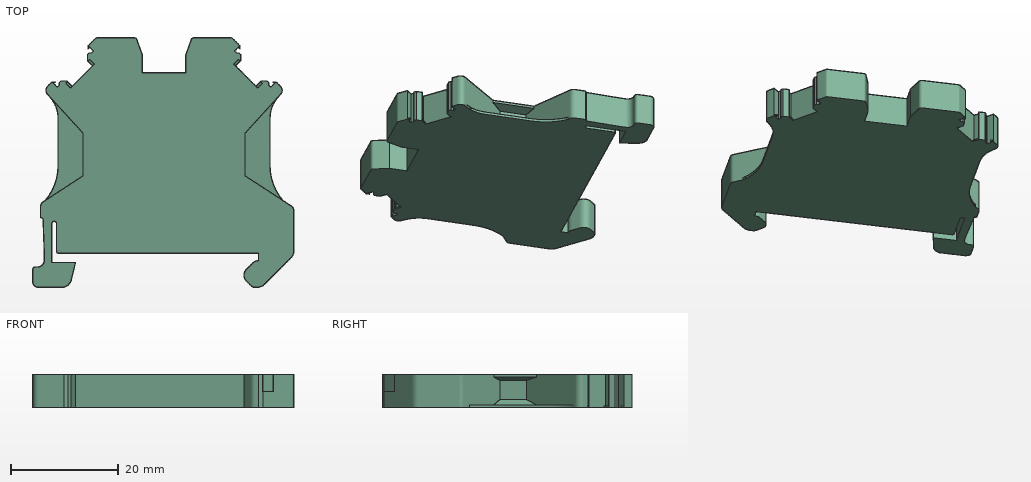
import cadquery as cq
import math


THICKNESS = 6.2
HEIGHT = 46.63
LENGTH = 48.76
LEFT_X = -24.53
RIGHT_X = LEFT_X + LENGTH

NOTCH_HALF_WIDTH = 4.04
NOTCH_FLOOR_Y = 40.08
NOTCH_FLARE_Y = 43.4
TOWER_TOP_INNER_X = 5.2
TOWER_INNER_RADIUS = 0.6
TOWER_OUTER_RADIUS = 0.6

HOLDER_X = 15.24
HOLDER_Y = 39.44
SLOT_HALF_LENGTH = 2.69
LUG_SHOULDER_V = 1.40
LUG_TOP_V = 2.18
GROOVE_FLOOR_V = 1.85
GROOVE_FLOOR_LENGTH = 0.5
GROOVE_HALF_LENGTH = 4.77
LIP_V = 3.25
LIP_SIZE = 0.43
HOLDER_FLOOR_Z = 0.3
LABEL_HALF_LENGTH = 3.155
LABEL_DEPTH = 1.24

RECESS_X = 15.13
RECESS_TOP_Y = 28.8
RECESS_BOTTOM_Y = 20.81
WING_ANGLE = 47.5
HIP_ANGLE = 33.0
WING_TIP_RADIUS = 1.05
PLATE_THICKNESS = 0.5
TOP_LIP_THICKNESS = 0.5
PLATE_X = 19.8
PLATE_UPPER_RADIUS = 6.0
PLATE_LOWER_RADIUS = 10.0
PLATE_LOWER_TURN = 45.0
PLATE_LOWER_TANGENT_Y = 22.7
FUNNEL_X = 13.4
FUNNEL_BOTTOM_Z = 1.5
FUNNEL_TOP_Z = 5.1

HIP_RADIUS = 1.0
LEFT_HIP_X = -23.07
LEFT_HIP_BOTTOM_Y = 13.08
LEG_TOP_X = -22.6
LEG_TOP_Y = 12.78
LEG_BOTTOM_X = -22.38
LEG_INNER_X = -20.92
SLIT_WIDTH = 0.83
SLIT_TOP_Y = 12.32
RAIL_SEAT_Y = 6.35
SEAT_CORNER_RADIUS = 0.4

FOOT_TOP_Y = 3.83
FOOT_LEDGE_Y = 4.66
FOOT_TIP_X = -16.5
FOOT_NECK_RADIUS = 1.25
FOOT_TOP_RADIUS = 0.55
FOOT_BOTTOM_RADIUS = 1.05
FOOT_TOE_CORNERS = [(-18.7, 0), (-17.93, 0.36), (-17.37, 1.1)]

HOOK_ROOT_X = 17.61
HOOK_ROOT_Y = 5.0
HOOK_WIDTH = 4.37
HOOK_RADIUS = 1.5
HOOK_END_X = 16.56
HOOK_END_RADIUS = 0.93
HOOK_FLAT_END_X = 17.61
HOOK_FACE_START_X = 18.44

HOOK_STEP_END_X = 20.41
HOOK_STEP_Z = 3.0
HOOK_STEP_DEPTH = 0.05

ROUNDING_CLEARANCE = 0.001


def rounded_outline(corners):
    """Closed wire through (x, y, radius) corners, each rounded by a tangent arc."""
    count = len(corners)
    stretches = []
    for i, (x, y, radius) in enumerate(corners):
        here = cq.Vector(x, y)
        to_previous = (cq.Vector(*corners[i - 1][:2]) - here).normalized()
        to_next = (cq.Vector(*corners[(i + 1) % count][:2]) - here).normalized()
        if radius == 0:
            stretches.append((here, None, here))
            continue
        half_angle = to_previous.getAngle(to_next) / 2
        setback = radius / math.tan(half_angle)
        bisector = (to_previous + to_next).normalized()
        middle = here + bisector * (radius / math.sin(half_angle) - radius)
        stretches.append((here + to_previous * setback, middle, here + to_next * setback))

    outline = cq.Workplane("XY").moveTo(*stretches[0][2].toTuple()[:2])
    for start, middle, end in stretches[1:] + stretches[:1]:
        outline = outline.lineTo(start.x, start.y)
        if middle is not None:
            outline = outline.threePointArc((middle.x, middle.y), (end.x, end.y))
    return outline.close()


def holder_point(u, v):
    """Left label holder: local (u, v) to part (x, y)."""
    return (-HOLDER_X + (u - v) / math.sqrt(2), HOLDER_Y + (u + v) / math.sqrt(2))


def mirrored_x(corners):
    """The same corners on the other side of X = 0, in reverse order."""
    return [(-x, y, radius) for x, y, radius in reversed(corners)]


def wing_wall_y(x):
    """Height of the left sloping wall under the wing, at x."""
    return RECESS_TOP_Y - (x + RECESS_X) * math.tan(math.radians(WING_ANGLE))


def hip_wall_y(x):
    """Height of the sloping wall above either hip, at distance x from the symmetry plane."""
    return RECESS_BOTTOM_Y - (x - RECESS_X) * math.tan(math.radians(HIP_ANGLE))


def wing_tip():
    """Where the holder's outer 45 degree line meets the sloping wall under the wing."""
    line_x, line_y = holder_point(0, LIP_V)
    slope = math.tan(math.radians(WING_ANGLE))
    x = line_x + (wing_wall_y(line_x) - line_y) / (1 + slope)
    return x, wing_wall_y(x)


def upper_left_corners():
    """Left half of the symmetric upper outline, from the notch to the recess."""
    groove_end_u = GROOVE_HALF_LENGTH - GROOVE_FLOOR_LENGTH
    tower_half_holder = [
        (GROOVE_HALF_LENGTH, LIP_V),
        (GROOVE_HALF_LENGTH - LIP_SIZE, LIP_V - LIP_SIZE),
        (GROOVE_HALF_LENGTH, LIP_V - LIP_SIZE),
        (GROOVE_HALF_LENGTH, GROOVE_FLOOR_V),
        (groove_end_u, GROOVE_FLOOR_V),
        (groove_end_u - (LUG_TOP_V - GROOVE_FLOOR_V), LUG_TOP_V),
        (SLOT_HALF_LENGTH + LUG_TOP_V - LUG_SHOULDER_V, LUG_TOP_V),
        (SLOT_HALF_LENGTH, LUG_SHOULDER_V),
        (SLOT_HALF_LENGTH, 0),
    ]
    wing_half_holder = [(-u, v) for u, v in reversed(tower_half_holder)]
    lip_x, lip_y = holder_point(GROOVE_HALF_LENGTH, LIP_V)
    tower_top_outer_x = lip_x + HEIGHT - lip_y

    corners = [
        (-NOTCH_HALF_WIDTH, NOTCH_FLOOR_Y, 0),
        (-NOTCH_HALF_WIDTH, NOTCH_FLARE_Y, 0),
        (-TOWER_TOP_INNER_X, HEIGHT, TOWER_INNER_RADIUS),
        (tower_top_outer_x, HEIGHT, TOWER_OUTER_RADIUS),
    ]
    for u, v in tower_half_holder + wing_half_holder:
        corners.append((*holder_point(u, v), 0))
    corners.append((*wing_tip(), WING_TIP_RADIUS))
    corners.append((-RECESS_X, RECESS_TOP_Y, 0))
    corners.append((-RECESS_X, RECESS_BOTTOM_Y, 0))
    return corners


def leg_and_foot_corners():
    """Left hip, spring leg with its foot, and the slit behind the leg."""
    slit_right_x = LEG_INNER_X + SLIT_WIDTH
    slit_radius = SLIT_WIDTH / 2 - ROUNDING_CLEARANCE
    return [
        (LEFT_HIP_X, hip_wall_y(-LEFT_HIP_X), HIP_RADIUS),
        (LEFT_HIP_X, LEFT_HIP_BOTTOM_Y, 0),
        (LEG_TOP_X, LEG_TOP_Y, 0),
        (LEG_BOTTOM_X, RAIL_SEAT_Y, 0),
        (LEG_BOTTOM_X, FOOT_TOP_Y, FOOT_NECK_RADIUS),
        (LEFT_X, FOOT_TOP_Y, FOOT_TOP_RADIUS),
        (LEFT_X, 0, FOOT_BOTTOM_RADIUS),
        *[(x, y, 0) for x, y in FOOT_TOE_CORNERS],
        (FOOT_TIP_X, FOOT_LEDGE_Y, 0),
        (LEG_INNER_X, FOOT_LEDGE_Y, 0),
        (LEG_INNER_X, SLIT_TOP_Y, slit_radius),
        (slit_right_x, SLIT_TOP_Y, slit_radius),
        (slit_right_x, RAIL_SEAT_Y, SEAT_CORNER_RADIUS),
    ]


def hook_edges():
    """x - y along the hook's upper edge and along its parallel outer face."""
    shoulder_length = HOOK_RADIUS * math.tan(math.radians(45) / 2)
    upper_edge = HOOK_ROOT_X - shoulder_length - HOOK_ROOT_Y
    return upper_edge, upper_edge + HOOK_WIDTH * math.sqrt(2)


def hook_corners():
    """Rail hook and right hip; the hook's end is square to its sides before rounding."""
    upper_edge, outer_face = hook_edges()
    return [
        (HOOK_ROOT_X, RAIL_SEAT_Y, 0),
        (HOOK_ROOT_X, HOOK_ROOT_Y, 0),
        (upper_edge + HOOK_ROOT_Y, HOOK_ROOT_Y, HOOK_RADIUS - ROUNDING_CLEARANCE),
        ((HOOK_END_X + upper_edge) / 2, (HOOK_END_X - upper_edge) / 2, HOOK_RADIUS),
        (HOOK_END_X, 0, HOOK_END_RADIUS),
        (HOOK_FLAT_END_X, 0, 0),
        (HOOK_FACE_START_X, HOOK_FACE_START_X - outer_face, 0),
        (RIGHT_X, RIGHT_X - outer_face, HOOK_RADIUS),
        (RIGHT_X, hip_wall_y(RIGHT_X), HIP_RADIUS),
    ]


def body():
    upper_left = upper_left_corners()
    corners = upper_left + leg_and_foot_corners() + hook_corners() + mirrored_x(upper_left)
    return rounded_outline(corners).extrude(THICKNESS)


def plate_arc_point(radius, tangent_y, turn):
    """Point on the left plate's edge arc that leaves the straight edge at tangent_y.

    The arc bends outwards by the angle turn; it runs upwards for a positive
    radius and downwards for a negative one.
    """
    x = -PLATE_X - abs(radius) * (1 - math.cos(turn))
    return x, tangent_y + radius * math.sin(turn)


def left_recess_plate():
    """Thin plate closing the left recess on the Z = 0 side."""
    upper_turn = math.radians(90 - WING_ANGLE)
    lower_turn = math.radians(PLATE_LOWER_TURN)
    upper_tangent_y = wing_wall_y(-PLATE_X) - PLATE_UPPER_RADIUS * math.tan(upper_turn / 2)
    upper_middle = plate_arc_point(PLATE_UPPER_RADIUS, upper_tangent_y, upper_turn / 2)
    upper_end = plate_arc_point(PLATE_UPPER_RADIUS, upper_tangent_y, upper_turn)
    lower_middle = plate_arc_point(-PLATE_LOWER_RADIUS, PLATE_LOWER_TANGENT_Y, lower_turn / 2)
    lower_end = plate_arc_point(-PLATE_LOWER_RADIUS, PLATE_LOWER_TANGENT_Y, lower_turn)
    return (
        cq.Workplane("XY")
        .moveTo(*upper_end)
        .threePointArc(upper_middle, (-PLATE_X, upper_tangent_y))
        .lineTo(-PLATE_X, PLATE_LOWER_TANGENT_Y)
        .threePointArc(lower_middle, lower_end)
        .lineTo(-FUNNEL_X, lower_end[1])
        .lineTo(-FUNNEL_X, RECESS_TOP_Y)
        .lineTo(-RECESS_X, RECESS_TOP_Y)
        .close()
        .extrude(PLATE_THICKNESS)
    )


def left_funnel():
    """Tapered pocket behind the left recess wall; its ends continue the sloping walls."""
    mouth = [
        (RECESS_BOTTOM_Y, PLATE_THICKNESS),
        (RECESS_TOP_Y, PLATE_THICKNESS),
        (RECESS_TOP_Y, THICKNESS - TOP_LIP_THICKNESS),
        (RECESS_BOTTOM_Y, THICKNESS - TOP_LIP_THICKNESS),
    ]
    floor_bottom_y = hip_wall_y(FUNNEL_X)
    floor_top_y = wing_wall_y(-FUNNEL_X)
    floor = [
        (floor_bottom_y, FUNNEL_BOTTOM_Z),
        (floor_top_y, FUNNEL_BOTTOM_Z),
        (floor_top_y, FUNNEL_TOP_Z),
        (floor_bottom_y, FUNNEL_TOP_Z),
    ]
    return (
        cq.Workplane("YZ", origin=(-RECESS_X, 0, 0))
        .polyline(mouth)
        .close()
        .workplane(offset=RECESS_X - FUNNEL_X)
        .polyline(floor)
        .close()
        .loft(ruled=True)
    )


def holder_block(half_length, low_v, high_v):
    """Block across the left holder, above the holder's thin floor."""
    ends = [(-half_length, low_v), (half_length, low_v), (half_length, high_v), (-half_length, high_v)]
    return (
        cq.Workplane("XY", origin=(0, 0, HOLDER_FLOOR_Z))
        .polyline([holder_point(u, v) for u, v in ends])
        .close()
        .extrude(THICKNESS - HOLDER_FLOOR_Z)
    )


def left_label_space():
    """Room for a label in the left holder: the widened slot and the gap between the lips."""
    slot = holder_block(LABEL_HALF_LENGTH, 0, LABEL_DEPTH)
    lip_gap = holder_block(GROOVE_HALF_LENGTH, LUG_TOP_V, LIP_V)
    return slot.union(lip_gap)


def hook_step():
    """Shallow step cut into the hook's outer face over the upper part of the thickness."""
    outer_face = hook_edges()[1]
    shift = HOOK_STEP_DEPTH / math.sqrt(2)
    start = (HOOK_FACE_START_X, HOOK_FACE_START_X - outer_face)
    end = (HOOK_STEP_END_X, HOOK_STEP_END_X - outer_face)
    corners = [start, end, (end[0] - shift, end[1] + shift), (start[0] - shift, start[1] + shift)]
    return (
        cq.Workplane("XY", origin=(0, 0, HOOK_STEP_Z))
        .polyline(corners)
        .close()
        .extrude(THICKNESS - HOOK_STEP_Z)
    )


def both_sides(left_shape):
    return left_shape.union(left_shape.mirror("YZ"))


result = (
    body()
    .union(both_sides(left_recess_plate()))
    .cut(both_sides(left_funnel()))
    .cut(both_sides(left_label_space()))
    .cut(hook_step())
)